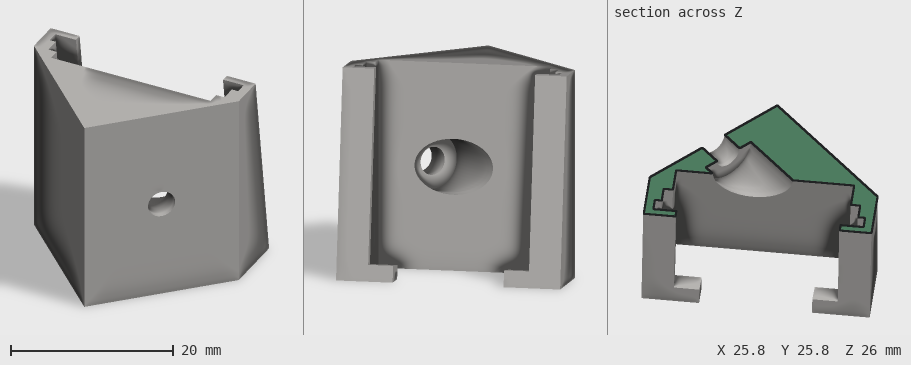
import cadquery as cq
import math

height = 26.0
leg = 20.0
outer_reach = 25.81
lean_angle = 8.0

pocket_half_width = 11.0
pocket_setback = 2.12

lip_thickness = 1.0
lip_half_opening = 10.15
deep_groove_half_width = 13.0
deep_groove_bottom = 2.5
shallow_groove_half_width = 12.15
shallow_groove_bottom = 4.5
stop_height = 2.08
stop_half_opening = 7.0

hole_y = 10.0
hole_z = height / 2
hole_diameter = 3.5
counterbore_diameter = 7.0
hole_wall = 3.0

lean = math.radians(lean_angle)
half_diagonal = leg / math.sqrt(2)
front_foot = (outer_reach - leg) * math.sqrt(2)
front_top = front_foot - height * math.tan(lean)
pocket_floor = -pocket_setback / math.sqrt(2)
slot_length = 2 * height
overlap = 1.0

diagonal_middle = cq.Vector(-leg / 2, leg / 2, 0)
outward = cq.Vector(-1, 1, 0).normalized()
across = cq.Vector(-1, -1, 0).normalized()
up = cq.Vector(0, 0, 1)

section_plane = cq.Plane(diagonal_middle, outward, across * -1)

front_plane = cq.Plane(
    diagonal_middle + outward * front_foot,
    across,
    outward * math.cos(lean) + up * math.sin(lean),
)


def make_body():
    corner_block = cq.Workplane("XY").polyline([(0, 0), (0, leg), (-leg, 0)]).close().extrude(height)
    leaning_block = (
        cq.Workplane(section_plane)
        .polyline([(0, 0), (front_foot, 0), (front_top, height), (0, height)])
        .close()
        .extrude(half_diagonal, both=True)
    )
    return corner_block.union(leaning_block)


def make_pocket():
    """Upright pocket from its vertical floor out to the back of the end stop."""
    rise = height + overlap
    stop_back = front_foot - deep_groove_bottom / math.cos(lean)
    drift = math.tan(lean)
    outline = [
        (pocket_floor, -overlap),
        (stop_back + overlap * drift, -overlap),
        (stop_back - rise * drift, rise),
        (pocket_floor, rise),
    ]
    return cq.Workplane(section_plane).polyline(outline).close().extrude(pocket_half_width, both=True)


def make_slot(half_width, start_depth, end_depth, foot):
    """Slot square to the leaning face, from `foot` up through the top."""
    return (
        cq.Workplane(front_plane)
        .workplane(offset=-end_depth)
        .center(0, foot + slot_length / 2)
        .rect(2 * half_width, slot_length)
        .extrude(end_depth - start_depth)
    )


def make_screw_hole():
    hole_plane = cq.Workplane("YZ").center(hole_y, hole_z)
    shank = hole_plane.workplane(offset=overlap).circle(hole_diameter / 2).extrude(-leg)
    head = hole_plane.workplane(offset=-leg).circle(counterbore_diameter / 2).extrude(leg - hole_wall)
    return shank.union(head)


result = (
    make_body()
    .cut(make_pocket())
    .cut(make_slot(stop_half_opening, -overlap, deep_groove_bottom, -overlap))
    .cut(make_slot(lip_half_opening, -overlap, lip_thickness, stop_height))
    .cut(make_slot(deep_groove_half_width, lip_thickness, deep_groove_bottom, stop_height))
    .cut(make_slot(shallow_groove_half_width, deep_groove_bottom, shallow_groove_bottom, stop_height))
    .cut(make_screw_hole())
)